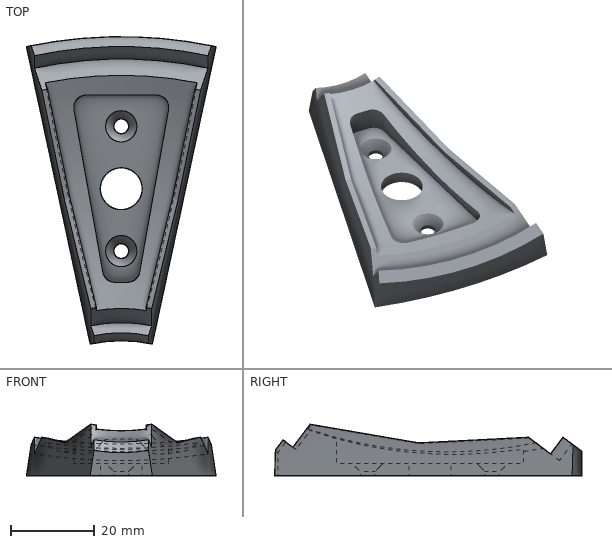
import cadquery as cq
import math

axis_tilt = math.atan2(3, 4)
half_sector = math.radians(15)

tile_width = 45.64
tile_length = 73.95
plan_half_angle = math.atan(math.tan(half_sector) * math.cos(axis_tilt))
outer_end_radius = tile_width / 2 / math.sin(plan_half_angle)
inner_end_radius = (outer_end_radius - tile_length) / math.cos(plan_half_angle)
blank_height = 20

outer_step_radius = 80.6
outer_shelf_height = 65
outer_ridge_height = 70
deck_outer_radius = 73.7
deck_bend_radius = 52.7
deck_bend_height = 48.1
inner_step_radius = 28.3
deck_inner_height = 36.03
inner_shelf_height = 29.1
inner_ridge_radius = 25.25
bowl_outer_radius = 110

rail_thickness = 1.4
sunken_outer_radius = 75.7
sunken_middle_radius = 53.2
sunken_middle_height = 46.3
sunken_inner_height = 34.8

floor_height = 3
pocket_length = 45
pocket_outer_width = 24
pocket_inner_width = 8
pocket_corner_radius = 3

hole_center_y = 72.3
center_hole_diameter = 10
screw_hole_diameter = 3.5
countersink_diameter = 7.5
countersink_angle = 90
screw_offset = 15

radial_direction = cq.Vector(0, math.cos(axis_tilt), -math.sin(axis_tilt))
axis_direction = cq.Vector(0, math.sin(axis_tilt), math.cos(axis_tilt))
profile_plane = cq.Plane(origin=(0, 0, 0), xDir=radial_direction, normal=(1, 0, 0))
sector_plane = cq.Plane(origin=(0, 0, 0), xDir=radial_direction, normal=axis_direction)


def sector(inset):
    """Wedge along the bowl axis, with both sides moved inwards by inset."""
    apex = inset / math.sin(half_sector)
    far_half_width = (bowl_outer_radius - apex) * math.tan(half_sector)
    return (
        cq.Workplane(sector_plane)
        .moveTo(apex, 0)
        .lineTo(bowl_outer_radius, -far_half_width)
        .lineTo(bowl_outer_radius, far_half_width)
        .close()
        .extrude(bowl_outer_radius)
    )


def end_trim():
    """Ring about Z that gives the base and the two curved ends."""
    return cq.Workplane("XY").circle(outer_end_radius).circle(inner_end_radius).extrude(blank_height)


def revolve_about_bowl_axis(profile):
    return profile.close().revolve(360, (0, 0), (0, 1))


def bowl():
    profile = (
        cq.Workplane(profile_plane)
        .lineTo(bowl_outer_radius, 0)
        .lineTo(bowl_outer_radius, outer_ridge_height)
        .lineTo(outer_step_radius, outer_ridge_height)
        .lineTo(outer_step_radius, outer_shelf_height)
        .lineTo(deck_outer_radius, outer_shelf_height)
        .lineTo(deck_bend_radius, deck_bend_height)
        .lineTo(inner_step_radius, deck_inner_height)
        .lineTo(inner_step_radius, inner_shelf_height)
        .lineTo(inner_ridge_radius, inner_shelf_height)
        .lineTo(inner_ridge_radius, 0)
    )
    return revolve_about_bowl_axis(profile)


def deck_cut():
    profile = (
        cq.Workplane(profile_plane)
        .moveTo(inner_step_radius, sunken_inner_height)
        .threePointArc(
            (sunken_middle_radius, sunken_middle_height),
            (sunken_outer_radius, outer_shelf_height),
        )
        .lineTo(inner_step_radius, outer_shelf_height)
    )
    return revolve_about_bowl_axis(profile).intersect(sector(rail_thickness))


def pocket_cut():
    outer_y = hole_center_y + pocket_length / 2
    inner_y = hole_center_y - pocket_length / 2
    return (
        cq.Workplane("XY", origin=(0, 0, floor_height))
        .moveTo(-pocket_outer_width / 2, outer_y)
        .lineTo(pocket_outer_width / 2, outer_y)
        .lineTo(pocket_inner_width / 2, inner_y)
        .lineTo(-pocket_inner_width / 2, inner_y)
        .close()
        .extrude(blank_height)
        .edges("|Z")
        .fillet(pocket_corner_radius)
    )


def add_holes(body):
    floor = cq.Workplane("XY", origin=(0, hole_center_y, floor_height))
    center_hole = floor.circle(center_hole_diameter / 2).extrude(-floor_height)
    countersink_depth = (countersink_diameter - screw_hole_diameter) / 2 / math.tan(
        math.radians(countersink_angle / 2)
    )
    body = body.cut(center_hole)
    for offset in (-screw_offset, screw_offset):
        screw_axis = floor.center(0, offset)
        body = body.cut(screw_axis.circle(screw_hole_diameter / 2).extrude(-floor_height))
        cone = cq.Solid.makeCone(
            countersink_diameter / 2,
            screw_hole_diameter / 2,
            countersink_depth,
            pnt=cq.Vector(0, hole_center_y + offset, floor_height),
            dir=cq.Vector(0, 0, -1),
        )
        body = body.cut(cq.Workplane(cone))
    return body


tile = sector(0).intersect(end_trim()).intersect(bowl())
tile = tile.cut(deck_cut()).cut(pocket_cut())
result = add_holes(tile)